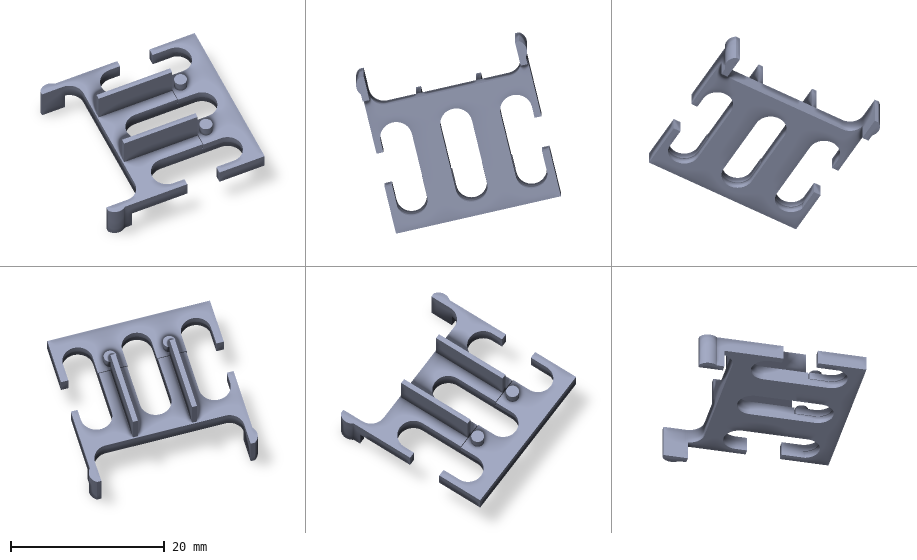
import cadquery as cq

overall_width = 22.75
overall_depth = 22.2
plate_half_width = 11.0
plate_thickness = 2.0
lap_height = plate_thickness / 2
slot_pitch = 8.0
slot_centers = [-slot_pitch, 0.0, slot_pitch]
finger_centers = [-slot_pitch / 2, slot_pitch / 2]

cover_slot_radius = 2.0
cover_slot_center_y = 18.25
cover_front_y = 15.75
cover_inner_half_width = slot_pitch + cover_slot_radius
rim_thickness = plate_half_width - cover_inner_half_width
lap_rear_y = overall_depth - rim_thickness

frame_slot_radius = 2.1
frame_slot_front_center_y = 9.62
frame_slot_rear_center_y = cover_slot_center_y
frame_inner_half_width = slot_pitch + frame_slot_radius
frame_front_y = 4.98
frame_arm_end_y = 11.15
shoulder_y = 15.65
corner_radius = 2.0

leg_height = 4.5
leg_depth = 3.25
bulge_radius = 1.5
bulge_center_x = overall_width / 2 - bulge_radius
bulge_center_y = 1.27

fin_width = 0.68
fin_height = 4.0
fin_front_y = 5.16
pin_radius = 0.85
pin_center_y = 17.0
pin_height = 1.32


def block(x_min, x_max, y_min, y_max, z_min, z_max):
    """Axis-aligned box given by its limits."""
    size = (x_max - x_min, y_max - y_min, z_max - z_min)
    return cq.Workplane("XY").box(*size, centered=False).translate((x_min, y_min, z_min))


def cylinder(x, y, radius, z_min, z_max):
    """Upright cylinder between two heights."""
    return cq.Workplane("XY", origin=(x, y, z_min)).circle(radius).extrude(z_max - z_min)


def slot_cutter(x, radius, front_y, rear_y):
    """Round-ended slot through the plate; front_y and rear_y are the end centers."""
    cutter = block(x - radius, x + radius, front_y, rear_y, -plate_thickness, 0)
    for y in (front_y, rear_y):
        cutter = cutter.union(cylinder(x, y, radius, -plate_thickness, 0))
    return cutter


def lap_layer(half_width, front_y):
    """Lower half of the plate, where the frame reaches under the cover."""
    return block(-half_width, half_width, front_y, lap_rear_y, -plate_thickness, -lap_height)


def pin(x):
    """Locating pin standing on the lap layer and rising through the cover."""
    return cylinder(x, pin_center_y, pin_radius, -lap_height, pin_height)


def make_leg(side):
    """Deep leg whose tip is formed by the snap bulge, cut flat at Y = 0."""
    inner_x, outer_x = sorted((side * frame_inner_half_width, side * plate_half_width))
    leg = block(inner_x, outer_x, bulge_center_y, leg_depth, -leg_height, 0)
    bulge = cylinder(side * bulge_center_x, bulge_center_y, bulge_radius, -leg_height, 0)
    bulge_limits = sorted((side * frame_inner_half_width, side * overall_width / 2))
    return leg.union(bulge.intersect(block(*bulge_limits, 0, leg_depth, -leg_height, 0)))


def make_frame():
    """Front frame with legs, fins, lap layer and pins."""
    frame = block(-plate_half_width, plate_half_width, bulge_center_y, frame_arm_end_y, -plate_thickness, 0)
    opening = block(-frame_inner_half_width, frame_inner_half_width, 0, frame_front_y, -plate_thickness, 0)
    frame = frame.cut(opening.edges("|Z and >Y").fillet(corner_radius))

    finger_span = block(-slot_pitch, slot_pitch, frame_arm_end_y, shoulder_y, -plate_thickness, 0)
    frame = frame.union(finger_span).union(lap_layer(slot_pitch, frame_arm_end_y))
    frame = frame.union(lap_layer(cover_inner_half_width, cover_slot_center_y))
    for x in slot_centers:
        slot = slot_cutter(x, frame_slot_radius, frame_slot_front_center_y, frame_slot_rear_center_y)
        frame = frame.cut(slot)

    for side in (-1, 1):
        frame = frame.union(make_leg(side))
    for x in finger_centers:
        fin = block(x - fin_width / 2, x + fin_width / 2, fin_front_y, shoulder_y, 0, fin_height)
        frame = frame.union(fin).union(pin(x))
    return frame


def make_cover():
    """Rear cover, recessed below for the lap layer and pierced by the pins."""
    cover = block(-plate_half_width, plate_half_width, cover_front_y, overall_depth, -plate_thickness, 0)
    cover = cover.cut(lap_layer(cover_inner_half_width, cover_front_y))
    slot_start_y = cover_front_y - cover_slot_radius
    for x in slot_centers:
        cover = cover.cut(slot_cutter(x, cover_slot_radius, slot_start_y, cover_slot_center_y))
    for x in finger_centers:
        cover = cover.cut(pin(x))
    return cover


frame = make_frame()
cover = make_cover()
result = cq.Compound.makeCompound([*frame.solids().vals(), *cover.solids().vals()])